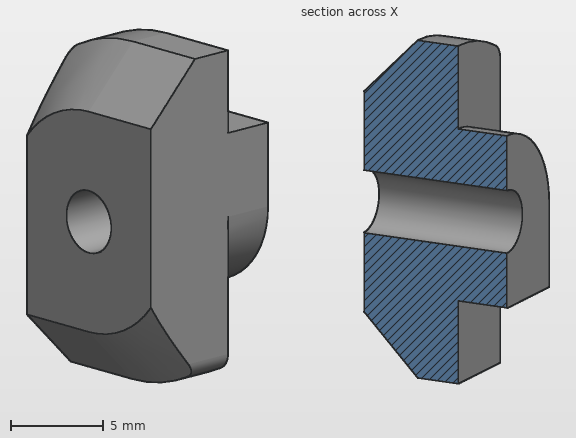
import cadquery as cq
import math

length = 19.0
width = 9.7
rim_depth = 2.49
bevel_depth = 3.3
boss_depth = 3.0
boss_corner_radius = 5.0
corner_radius = 1.0
hole_diameter = 3.5

half_width = width / 2
end_radius = length / 2
plate_depth = rim_depth + bevel_depth
total_depth = plate_depth + boss_depth
front_y = -total_depth / 2
rim_y = front_y + bevel_depth
plate_back_y = front_y + plate_depth


def section(y):
    """Sketch plane across the Y axis; negative extrusions run toward +Y."""
    return cq.Workplane("XZ", origin=(0, y, 0))


def lobed_section(y, radius):
    """Outline with square corners at +X+Z and -X-Z and arcs about the hole axis at the other two."""
    arc_end_z = math.sqrt(radius**2 - half_width**2)
    arc_mid_angle = math.asin(half_width / radius) / 2
    mid_x = radius * math.sin(arc_mid_angle)
    mid_z = radius * math.cos(arc_mid_angle)
    return (
        section(y)
        .moveTo(half_width, radius)
        .lineTo(0, radius)
        .threePointArc((-mid_x, mid_z), (-half_width, arc_end_z))
        .lineTo(-half_width, -radius)
        .lineTo(0, -radius)
        .threePointArc((mid_x, -mid_z), (half_width, -arc_end_z))
        .close()
    )


def round_opposite_corners(body, radius):
    """Round the edges along Y at the -X+Z and +X-Z corners."""
    for toward_corner in ((-1, 0, 1), (1, 0, -1)):
        corner = cq.selectors.DirectionMinMaxSelector(cq.Vector(*toward_corner), True)
        body = body.edges("|Y").edges(corner).fillet(radius)
    return body


def bevel_envelope():
    """Cone about the hole axis joined to flat end bevels over the square corners."""
    front_radius = end_radius - bevel_depth
    cone = (
        cq.Workplane("XY")
        .moveTo(0, front_y)
        .lineTo(front_radius, front_y)
        .lineTo(end_radius, rim_y)
        .lineTo(end_radius, plate_back_y)
        .lineTo(0, plate_back_y)
        .close()
        .revolve(360, (0, 0, 0), (0, 1, 0))
    )
    half_profile = (
        cq.Workplane("YZ")
        .moveTo(front_y, -front_radius)
        .lineTo(front_y, front_radius)
        .lineTo(rim_y, end_radius)
        .lineTo(plate_back_y, end_radius)
        .lineTo(plate_back_y, -end_radius)
        .lineTo(rim_y, -end_radius)
        .close()
        .extrude(half_width, both=True)
    )
    upper_right = cq.Workplane("XY").box(half_width, total_depth, end_radius, centered=(False, True, False))
    lower_left = upper_right.rotate((0, 0, 0), (0, 1, 0), 180)
    flat_bevels = half_profile.intersect(upper_right.union(lower_left))
    return cone.union(flat_bevels)


plate = lobed_section(front_y, end_radius).extrude(-plate_depth)
plate = round_opposite_corners(plate, corner_radius)
plate = plate.intersect(bevel_envelope())

boss = section(plate_back_y).rect(width, width).extrude(-boss_depth)
boss = round_opposite_corners(boss, boss_corner_radius)

hole = section(front_y).circle(hole_diameter / 2).extrude(-total_depth)

result = plate.union(boss).cut(hole)